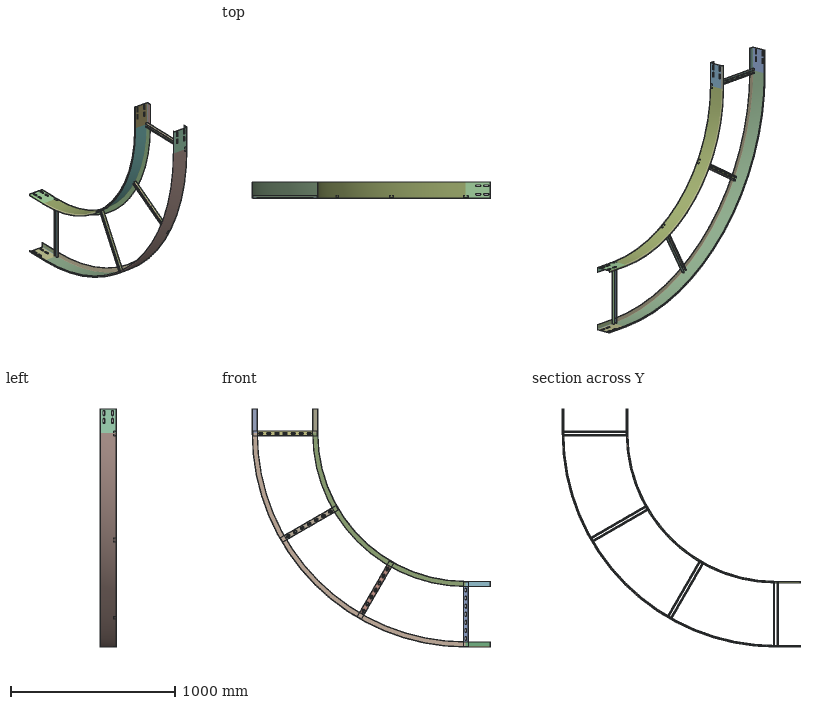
import cadquery as cq
import math


overall_size = 1450.0
straight_length = 150.0
bend_angle = 90.0
tray_width = 400.0
outer_radius = overall_size - straight_length
inner_radius = outer_radius - tray_width

rail_height = 100.0
front_flange_width = 32.0
back_flange_width = 10.0
rail_sheet = 2.2
corner_radius = 5.0

slot_length = 30.0
slot_width = 9.0
slot_end_distances = (25.0, 72.0)
slot_spacing = 52.0

rung_count = 4
rung_width = 30.0
rung_depth = 15.0
rung_lip = 9.0
rung_sheet = 1.0
rung_corner_radius = 3.0
rung_slot_count = 7
rung_slot_pitch = 50.0
rung_slot_length = 23.0
rung_slot_width = 7.0


def rail_section(web_radius, inward):
    """C section in the XY plane; its flanges point along X in the `inward` direction (+1 or -1)."""
    web_outside = -web_radius
    web_inside = web_outside + inward * rail_sheet
    front_tip = web_outside + inward * front_flange_width
    back_tip = web_outside + inward * back_flange_width
    corner_x = web_outside + inward * corner_radius
    inside_radius = corner_radius - rail_sheet
    outside_middle = corner_radius * (1 - math.sqrt(0.5))
    inside_middle = corner_radius - inside_radius * math.sqrt(0.5)
    outside_middle_x = web_outside + inward * outside_middle
    inside_middle_x = web_outside + inward * inside_middle
    back_corner_y = rail_height - corner_radius
    back_inside = rail_height - rail_sheet
    return (
        cq.Workplane("XY")
        .moveTo(front_tip, 0)
        .lineTo(corner_x, 0)
        .threePointArc((outside_middle_x, outside_middle), (web_outside, corner_radius))
        .lineTo(web_outside, back_corner_y)
        .threePointArc((outside_middle_x, rail_height - outside_middle), (corner_x, rail_height))
        .lineTo(back_tip, rail_height)
        .lineTo(back_tip, back_inside)
        .lineTo(corner_x, back_inside)
        .threePointArc((inside_middle_x, rail_height - inside_middle), (web_inside, back_corner_y))
        .lineTo(web_inside, corner_radius)
        .threePointArc((inside_middle_x, inside_middle), (corner_x, rail_sheet))
        .lineTo(front_tip, rail_sheet)
        .close()
    )


def joining_slots(web_radius, direction):
    """Cutters for the slots of one straight end that runs along Z in the `direction` (+1 or -1)."""
    slot_places = [
        (rail_height / 2 + side * slot_spacing / 2, direction * (straight_length - distance))
        for side in (-1, 1)
        for distance in slot_end_distances
    ]
    return (
        cq.Workplane("YZ", origin=(-web_radius, 0, 0))
        .pushPoints(slot_places)
        .slot2D(slot_length, slot_width, 90)
        .extrude(2 * rail_sheet, both=True)
    )


def make_straight(web_radius, inward, direction):
    """Straight end of a rail, running from z = 0 in the `direction` (+1 or -1) along Z."""
    straight = rail_section(web_radius, inward).extrude(direction * straight_length)
    return straight.cut(joining_slots(web_radius, direction))


def make_rail(web_radius, inward):
    """Quarter-circle rail with a straight end along +Z and another along +X."""
    bend = rail_section(web_radius, inward).revolve(bend_angle, (0, 0, 0), (0, -1, 0))
    upper_straight = make_straight(web_radius, inward, 1)
    lower_straight = make_straight(web_radius, inward, -1).rotate((0, 0, 0), (0, -1, 0), bend_angle)
    return bend.union(upper_straight, clean=False).union(lower_straight, clean=False)


def make_rung():
    """Lipped channel along -X, lying on the front flanges between the two webs."""
    outer_end = math.sqrt((outer_radius - corner_radius) ** 2 - (rung_width / 2) ** 2)
    inner_end = inner_radius + corner_radius
    length = outer_end - inner_end
    middle_x = -(outer_end + inner_end) / 2
    base_y = rail_sheet

    def bar(width, depth, start_y):
        return (
            cq.Workplane("XY")
            .box(length, depth, width, centered=(True, False, True))
            .translate((middle_x, start_y, 0))
        )

    inside_width = rung_width - 2 * rung_sheet
    inside_depth = rung_depth - 2 * rung_sheet
    body = bar(rung_width, rung_depth, base_y).edges("|X").fillet(rung_corner_radius)
    hollow = bar(inside_width, inside_depth, base_y + rung_sheet)
    hollow = hollow.edges("|X").fillet(rung_corner_radius - rung_sheet)
    mouth = bar(rung_width - 2 * rung_lip, rung_depth / 2, base_y + rung_depth / 2)
    slots = (
        cq.Workplane("XZ", origin=(-(outer_radius + inner_radius) / 2, base_y, 0))
        .rarray(rung_slot_pitch, 15, rung_slot_count, 1)
        .slot2D(rung_slot_length, rung_slot_width)
        .extrude(-rung_sheet)
    )
    return body.cut(hollow).cut(mouth).cut(slots)


outer_rail = make_rail(outer_radius, 1)
inner_rail = make_rail(inner_radius, -1)

rung = make_rung()
rung_step = bend_angle / (rung_count - 1)
rungs = [rung.rotate((0, 0, 0), (0, -1, 0), i * rung_step) for i in range(rung_count)]

result = cq.Compound.makeCompound(
    [outer_rail.val(), inner_rail.val(), *[placed_rung.val() for placed_rung in rungs]]
)